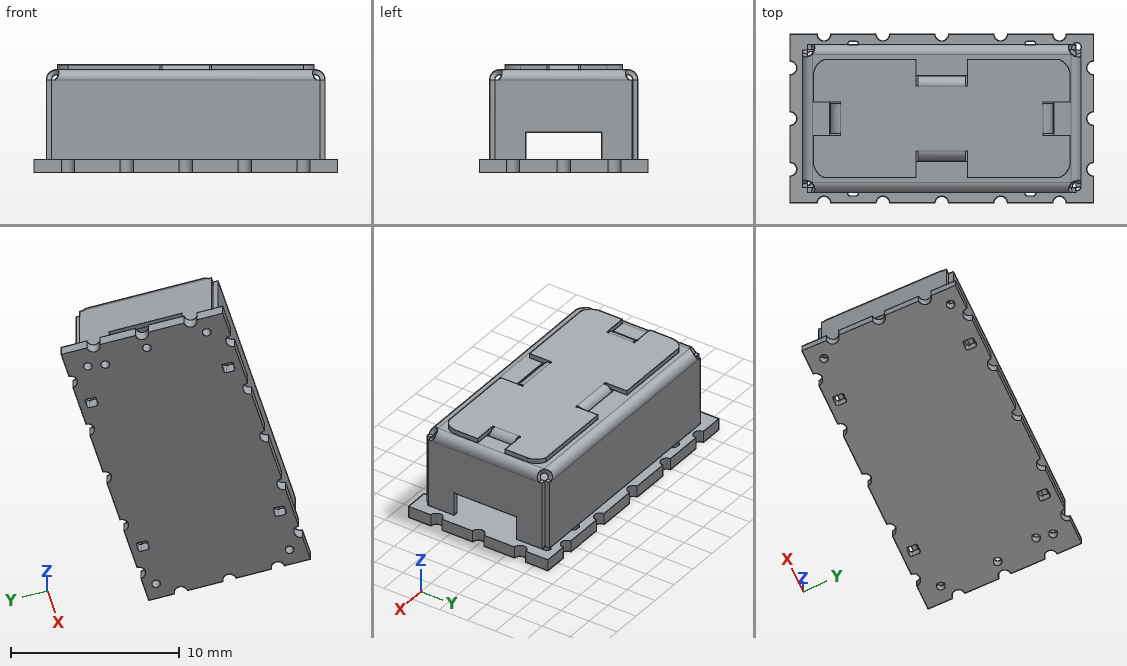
import cadquery as cq
import math

BOARD_LENGTH = 18.0
BOARD_WIDTH = 10.0
BOARD_THICKNESS = 0.8
CASTELLATION_DIAMETER = 0.8
LONG_EDGE_PITCH = 3.5
SHORT_EDGE_PITCH = 3.0
VIA_DIAMETER = 0.5
VIA_CENTRES = [(8.01, 4.25), (8.01, -4.01), (-8.0, -3.7), (-7.74, 3.73), (-7.97, 0.0), (-7.56, 2.7)]
BOARD_SLOT_LENGTH = 0.61
BOARD_SLOT_WIDTH = 0.68
BOARD_SLOT_CORNER = 0.13
BOARD_SLOT_X = 5.25

OVERALL_HEIGHT = 6.4
SHEET = 0.3
BEND_RADIUS = 0.6
CAN_LENGTH = 16.52
CAN_WIDTH = 8.78
CAN_TOP = OVERALL_HEIGHT - SHEET
BEND_Z = CAN_TOP - BEND_RADIUS
SEAM_CLEARANCE = 0.009
WALL_END_INSET = SHEET + SEAM_CLEARANCE
BEND_END_INSET = 0.47
RELIEF_DEPTH = 1.08
RELIEF_INNER_RADIUS = 0.07
RELIEF_OUTER_RADIUS = 1.12
WINDOW_WIDTH = 4.5
WINDOW_HEIGHT = 1.6

PLATE_LENGTH = 15.23
PLATE_WIDTH = 6.98
PLATE_CORNER_RADIUS = 1.0
PLATE_TRIM = 0.07
TAB_SIDE_CLEARANCE = 0.1
TAB_END_CLEARANCE = 0.04
LONG_SIDE_NOTCH = 3.06
SHORT_SIDE_NOTCH = 1.98
LONG_SIDE_TAB_Y = 1.93
SHORT_SIDE_TAB_X = 6.01

NOTCHES = [
    (0, SHORT_SIDE_TAB_X, SHORT_SIDE_NOTCH, PLATE_LENGTH / 2),
    (90, LONG_SIDE_TAB_Y, LONG_SIDE_NOTCH, PLATE_WIDTH / 2),
    (180, SHORT_SIDE_TAB_X, SHORT_SIDE_NOTCH, PLATE_LENGTH / 2),
    (270, LONG_SIDE_TAB_Y, LONG_SIDE_NOTCH, PLATE_WIDTH / 2),
]


def box_between(x_range, y_range, z_range):
    """Box given by its lower and upper limit along each axis."""
    size = [high - low for low, high in (x_range, y_range, z_range)]
    corner = (x_range[0], y_range[0], z_range[0])
    return cq.Workplane("XY").box(*size, centered=False).translate(corner)


def quarter_bend(start_x, top_z, width):
    """Sheet bent down through 90 degrees towards +X, centred on the XZ plane."""
    inner_radius = BEND_RADIUS - SHEET
    centre_z = top_z - BEND_RADIUS
    diagonal = math.sqrt(0.5)
    return (
        cq.Workplane("XZ")
        .moveTo(start_x, top_z)
        .threePointArc(
            (start_x + BEND_RADIUS * diagonal, centre_z + BEND_RADIUS * diagonal),
            (start_x + BEND_RADIUS, centre_z),
        )
        .lineTo(start_x + inner_radius, centre_z)
        .threePointArc(
            (start_x + inner_radius * diagonal, centre_z + inner_radius * diagonal),
            (start_x, top_z - SHEET),
        )
        .close()
        .extrude(width / 2, both=True)
    )


def turned(body, angle):
    return body.rotate((0, 0, 0), (0, 0, 1), angle)


def make_board():
    board = cq.Workplane("XY").box(
        BOARD_LENGTH, BOARD_WIDTH, BOARD_THICKNESS, centered=(True, True, False)
    )
    castellations = []
    for side in (-1, 1):
        castellations += [(i * LONG_EDGE_PITCH, side * BOARD_WIDTH / 2) for i in range(-2, 3)]
        castellations += [(side * BOARD_LENGTH / 2, i * SHORT_EDGE_PITCH) for i in range(-1, 2)]
    holes = cq.Workplane("XY").pushPoints(castellations).circle(CASTELLATION_DIAMETER / 2)
    vias = cq.Workplane("XY").pushPoints(VIA_CENTRES).circle(VIA_DIAMETER / 2)

    wall_centre_y = (CAN_WIDTH - SHEET) / 2
    slot_centres = [(i * BOARD_SLOT_X, j * wall_centre_y) for i in (-1, 1) for j in (-1, 1)]
    slots = (
        cq.Workplane("XY")
        .pushPoints(slot_centres)
        .rect(BOARD_SLOT_LENGTH, BOARD_SLOT_WIDTH)
        .extrude(BOARD_THICKNESS)
        .edges("|Z")
        .fillet(BOARD_SLOT_CORNER)
    )
    return board.cut(holes.extrude(BOARD_THICKNESS)).cut(vias.extrude(BOARD_THICKNESS)).cut(slots)


def can_bend(distance, side_length):
    """Top bend of the +X side, whose outer face is at the given distance."""
    return quarter_bend(distance - BEND_RADIUS, CAN_TOP, side_length - 2 * BEND_END_INSET)


def can_wall(distance, side_length):
    """Flat wall on the +X side, whose outer face is at the given distance."""
    half_wall = side_length / 2 - WALL_END_INSET
    return box_between((distance - SHEET, distance), (-half_wall, half_wall), (BOARD_THICKNESS, BEND_Z))


def corner_relief(side_x, side_y):
    """Tapered cutter at a top corner, starting where the bend axes meet and widening outward."""
    start = cq.Vector(
        side_x * (CAN_LENGTH / 2 - BEND_RADIUS),
        side_y * (CAN_WIDTH / 2 - BEND_RADIUS),
        BEND_Z,
    )
    outward = cq.Vector(side_x, side_y, 1)
    cutter = cq.Solid.makeCone(RELIEF_INNER_RADIUS, RELIEF_OUTER_RADIUS, RELIEF_DEPTH, start, outward)
    return cq.Workplane(cutter)


def make_can():
    half_x = CAN_LENGTH / 2 - BEND_RADIUS
    half_y = CAN_WIDTH / 2 - BEND_RADIUS
    can = box_between((-half_x, half_x), (-half_y, half_y), (CAN_TOP - SHEET, CAN_TOP))
    sides = [
        (0, CAN_LENGTH / 2, CAN_WIDTH),
        (90, CAN_WIDTH / 2, CAN_LENGTH),
        (180, CAN_LENGTH / 2, CAN_WIDTH),
        (270, CAN_WIDTH / 2, CAN_LENGTH),
    ]
    for angle, distance, side_length in sides:
        can = can.union(turned(can_bend(distance, side_length), angle))

    for side_x in (-1, 1):
        for side_y in (-1, 1):
            can = can.cut(corner_relief(side_x, side_y))
    for angle, distance, side_length in sides:
        can = can.union(turned(can_wall(distance, side_length), angle))

    windows = box_between(
        (-CAN_LENGTH / 2, CAN_LENGTH / 2),
        (-WINDOW_WIDTH / 2, WINDOW_WIDTH / 2),
        (BOARD_THICKNESS, BOARD_THICKNESS + WINDOW_HEIGHT),
    )
    can = can.cut(windows)

    for angle, bend_start, notch_width, _ in NOTCHES:
        slot = box_between(
            (bend_start, bend_start + BEND_RADIUS + TAB_END_CLEARANCE),
            (-notch_width / 2, notch_width / 2),
            (CAN_TOP - SHEET, CAN_TOP),
        )
        can = can.cut(turned(slot, angle))
    return can


def make_top_plate():
    plate = (
        cq.Workplane("XY", origin=(0, 0, CAN_TOP))
        .rect(PLATE_LENGTH, PLATE_WIDTH + 2 * PLATE_TRIM)
        .extrude(SHEET)
        .edges("|Z")
        .fillet(PLATE_CORNER_RADIUS)
    )
    trimmed_extent = box_between(
        (-PLATE_LENGTH / 2, PLATE_LENGTH / 2),
        (-PLATE_WIDTH / 2, PLATE_WIDTH / 2),
        (CAN_TOP, OVERALL_HEIGHT),
    )
    plate = plate.intersect(trimmed_extent)
    for angle, bend_start, notch_width, edge in NOTCHES:
        notch = box_between(
            (bend_start, edge), (-notch_width / 2, notch_width / 2), (CAN_TOP, OVERALL_HEIGHT)
        )
        tab = quarter_bend(bend_start, OVERALL_HEIGHT, notch_width - 2 * TAB_SIDE_CLEARANCE)
        plate = plate.cut(turned(notch, angle)).union(turned(tab, angle))
    return plate


board = make_board()
can = make_can()
top_plate = make_top_plate()
result = cq.Compound.makeCompound([*board.solids().vals(), *can.solids().vals(), *top_plate.solids().vals()])